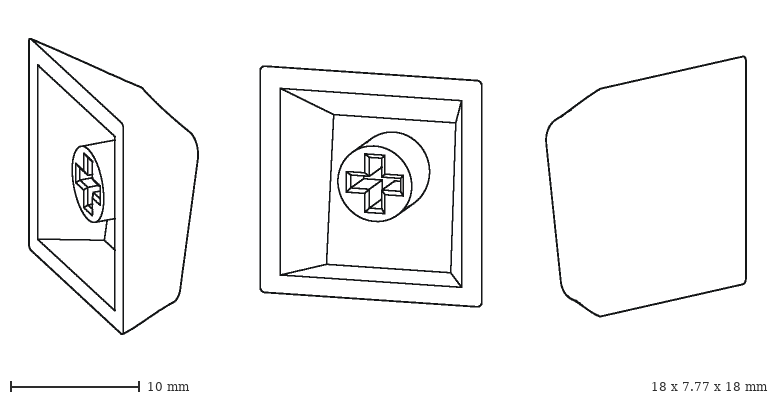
import cadquery as cq
import math


rim_size = 18
rim_corner_radius = 0.41
top_half_width = 6.05
top_upper_y = 7.97
top_upper_z = 4.93
top_lower_y = 6.03
top_lower_z = -9
top_corner_radius = 1.7
top_edge_fillet = 0.27
section_count = 6

dish_depth = 0.5
dish_half_chord = 6.3

cavity_half_width = 7.35
cavity_top_z = 7.3
cavity_bottom_z = -7.52
floor_upper_half_width = 4.95
floor_lower_half_width = 5.04
floor_top_z = 4.03
floor_lower_y = 4.65

stem_diameter = 6.0
stem_face_y = 1.0
cross_length = 4.65
cross_width = 1.64
cross_inset = 0.3
cross_inset_depth = 0.22
cross_depth = 3.6

top_slope = (top_upper_y - top_lower_y) / (top_upper_z - top_lower_z)
top_tilt = math.degrees(math.atan(top_slope))
floor_upper_y = floor_lower_y + top_slope * (floor_top_z - cavity_bottom_z)


def blend(start, end, fraction):
    return start + (end - start) * fraction


def rounded_section(fraction):
    """Rounded rectangle between the rim (0) and the tilted top (1)."""
    upper_y = top_upper_y * fraction
    upper_z = blend(rim_size / 2, top_upper_z, fraction)
    lower_y = top_lower_y * fraction
    lower_z = blend(-rim_size / 2, top_lower_z, fraction)
    half_width = blend(rim_size / 2, top_half_width, fraction)
    rise = (upper_y - lower_y, upper_z - lower_z)
    center = (0, (upper_y + lower_y) / 2, (upper_z + lower_z) / 2)
    ease = fraction ** 2 * (3 - 2 * fraction)
    radius = blend(rim_corner_radius, top_corner_radius, ease)
    plane = cq.Plane(origin=center, xDir=(1, 0, 0), normal=(0, rise[1], -rise[0]))
    outline = cq.Workplane(plane).rect(2 * half_width, math.hypot(*rise)).wires().val()
    return outline.fillet2D(radius, outline.Vertices())


def make_shell():
    sections = [rounded_section(i / (section_count - 1)) for i in range(section_count)]
    body = cq.Workplane(cq.Solid.makeLoft(sections))
    dish_radius = (dish_half_chord ** 2 + dish_depth ** 2) / (2 * dish_depth)
    dish = (
        cq.Workplane("XY")
        .circle(dish_radius)
        .extrude(2 * rim_size, both=True)
        .translate((0, dish_radius - dish_depth, 0))
        .rotate((0, 0, 0), (1, 0, 0), -top_tilt)
        .translate((0, top_lower_y, top_lower_z))
    )
    top_edges = body.cut(dish).faces(">Y").edges()
    return top_edges.fillet(top_edge_fillet)


def make_cavity():
    rim = cq.Wire.makePolygon(
        [
            (-cavity_half_width, 0, cavity_bottom_z),
            (cavity_half_width, 0, cavity_bottom_z),
            (cavity_half_width, 0, cavity_top_z),
            (-cavity_half_width, 0, cavity_top_z),
        ],
        close=True,
    )
    floor = cq.Wire.makePolygon(
        [
            (-floor_lower_half_width, floor_lower_y, cavity_bottom_z),
            (floor_lower_half_width, floor_lower_y, cavity_bottom_z),
            (floor_upper_half_width, floor_upper_y, floor_top_z),
            (-floor_upper_half_width, floor_upper_y, floor_top_z),
        ],
        close=True,
    )
    return cq.Workplane(cq.Solid.makeLoft([rim, floor], True))


def make_stem():
    return (
        cq.Workplane("XZ", origin=(0, stem_face_y, 0))
        .circle(stem_diameter / 2)
        .extrude(-floor_upper_y + stem_face_y)
    )


def cross_outline(length, width, depth):
    """Closed cross at the given depth below the stem face."""
    tip = length / 2
    side = width / 2
    arm = [(tip, -side), (tip, side), (side, side)]
    points = []
    for x, z in arm:
        points.append((x, stem_face_y + depth, z))
    for _ in range(3):
        for x, y, z in points[-3:]:
            points.append((-z, y, x))
    return cq.Wire.makePolygon(points, close=True)


def make_socket():
    """Cross-shaped hole with a tapered mouth."""
    inner_length = cross_length - 2 * cross_inset
    inner_width = cross_width - 2 * cross_inset
    mouth = cross_outline(cross_length, cross_width, 0)
    throat = cross_outline(inner_length, inner_width, cross_inset_depth)
    end = cross_outline(inner_length, inner_width, cross_depth)
    taper = cq.Workplane(cq.Solid.makeLoft([mouth, throat], True))
    return taper.union(cq.Workplane(cq.Solid.makeLoft([throat, end], True)))


result = make_shell().cut(make_cavity()).union(make_stem()).cut(make_socket())